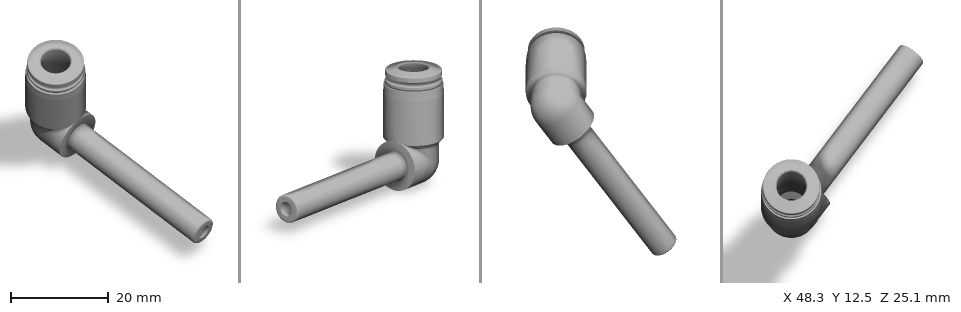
import cadquery as cq
import math

overall_length = 48.25
overall_height = 25.05
body_radius = 12.5 / 2
elbow_radius = 10.5 / 2
stem_radius = 6.0 / 2
stem_end_x = overall_length - body_radius
socket_top_z = overall_height - elbow_radius

body_bottom_z = 4.8
body_taper_z = 14.45
body_top_z = 16.3
body_top_radius = 6.15

collar_radius = 11.8 / 2
collar_top_z = 17.3
collar_round = 0.2
collar_foot_radius = 5.7
collar_foot_height = 0.4

neck_radius = 7.4 / 2
neck_top_radius = 3.85
neck_taper_z = 17.95
flange_radius = 11.7 / 2
flange_bottom_z = 18.25
flange_round = 0.25
flange_slope_height = 0.45
button_mouth_radius = 3.35
mouth_chamfer = 0.25

socket_bore_radius = button_mouth_radius - mouth_chamfer
socket_floor_z = body_bottom_z
flow_radius = 3.1 / 2

stem_root_length = 0.45
stem_root_radius = 3.15
stem_tip_round = 0.5

ARC_CUT = 1 - math.sqrt(0.5)


def make_socket():
    """Revolve the stepped socket body, collar and release button about Z."""
    flange_shoulder_z = socket_top_z - flange_slope_height
    return (
        cq.Workplane("XZ")
        .moveTo(0, 0)
        .lineTo(elbow_radius, 0)
        .lineTo(elbow_radius, body_bottom_z - (body_radius - elbow_radius))
        .lineTo(body_radius, body_bottom_z)
        .lineTo(body_radius, body_taper_z)
        .lineTo(body_top_radius, body_top_z)
        .lineTo(collar_foot_radius, body_top_z)
        .lineTo(collar_radius, body_top_z + collar_foot_height)
        .lineTo(collar_radius, collar_top_z - collar_round)
        .threePointArc(
            (collar_radius - ARC_CUT * collar_round, collar_top_z - ARC_CUT * collar_round),
            (collar_radius - collar_round, collar_top_z),
        )
        .lineTo(neck_radius, collar_top_z)
        .lineTo(neck_top_radius, neck_taper_z)
        .lineTo(neck_top_radius, flange_bottom_z)
        .lineTo(flange_radius, flange_bottom_z)
        .lineTo(flange_radius, flange_shoulder_z - flange_round)
        .threePointArc(
            (flange_radius - ARC_CUT * flange_round, flange_shoulder_z - ARC_CUT * flange_round),
            (flange_radius - flange_round, flange_shoulder_z),
        )
        .lineTo(button_mouth_radius, socket_top_z)
        .lineTo(0, socket_top_z)
        .close()
        .revolve(360, (0, 0), (0, 1))
    )


def cylinder_along_x(radius, start_x, end_x):
    return cq.Workplane("YZ").workplane(offset=start_x).circle(radius).extrude(end_x - start_x)


def make_stem():
    """Revolve the stem about X, with a flared root and a rounded tip."""
    return (
        cq.Workplane("XY")
        .moveTo(0, 0)
        .lineTo(0, stem_root_radius)
        .lineTo(body_radius, stem_root_radius)
        .lineTo(body_radius + stem_root_length, stem_radius)
        .lineTo(stem_end_x - stem_tip_round, stem_radius)
        .threePointArc(
            (stem_end_x - ARC_CUT * stem_tip_round, stem_radius - ARC_CUT * stem_tip_round),
            (stem_end_x, stem_radius - stem_tip_round),
        )
        .lineTo(stem_end_x, 0)
        .close()
        .revolve(360, (0, 0), (1, 0))
    )


def make_bores():
    """Tube socket, and a round-cornered flow passage out through the stem."""
    socket_bore = (
        cq.Workplane("XY")
        .workplane(offset=socket_floor_z)
        .circle(socket_bore_radius)
        .extrude(socket_top_z - socket_floor_z)
    )
    mouth = (
        cq.Workplane("XY")
        .workplane(offset=socket_top_z)
        .circle(button_mouth_radius)
        .workplane(offset=-mouth_chamfer)
        .circle(socket_bore_radius)
        .loft()
    )
    drop = cq.Workplane("XY").circle(flow_radius).extrude(socket_floor_z)
    corner = cq.Workplane("XY").sphere(flow_radius)
    run = cylinder_along_x(flow_radius, 0, stem_end_x)
    return socket_bore.union(mouth).union(drop).union(corner).union(run)


elbow_corner = cq.Workplane("XY").sphere(elbow_radius)
elbow_arm = cylinder_along_x(elbow_radius, 0, body_radius)

result = make_socket().union(elbow_corner).union(elbow_arm).union(make_stem()).cut(make_bores())